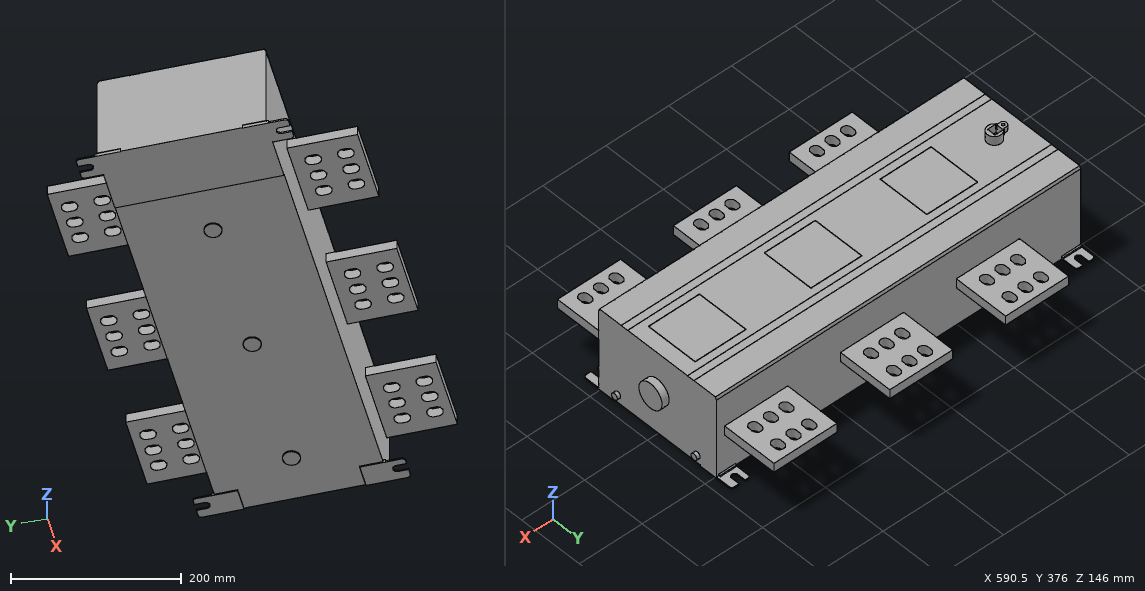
import cadquery as cq
TOTAL_LENGTH = 590.5
TOTAL_WIDTH = 376.0
TOTAL_HEIGHT = 146.0

HOUSING_LENGTH = 579.0
HOUSING_WIDTH = 205.0
HOUSING_BOTTOM = 2.0
HOUSING_TOP = 131.5
EDGE_SLOPE_HEIGHT = 4.0
EDGE_SLOPE_WIDTH = 2.0

STRIP_DEPTH = 0.3
STRIP_INNER_Y = 52.0
STRIP_OUTER_Y = 63.0
WINDOW_DEPTH = 0.5
WINDOW_SIZE = 81.0

POLE_PITCH = 184.0
MIDDLE_POLE_X = 332.0
POLE_CENTERS = [MIDDLE_POLE_X + step * POLE_PITCH for step in (-1, 0, 1)]
BUSBAR_WIDTH = 100.5
BUSBAR_THICKNESS = 15.0
BUSBAR_CENTER_Z = 69.5
SLOT_WIDTH = 14.0
SLOT_LENGTH = 19.5
SLOT_PITCH_X = 25.0
SLOT_PITCH_Y = 39.5
OUTER_SLOT_INSET = 20.5

BASE_PLATE_LENGTH = 84.5
PAD_DIAMETER = 21.0

LEFT_BRACKET_INSET = 0.5
BRACKET_WIDTH = 30.0
RIGHT_STEP_INSET = 3.5
BRACKET_INNER_Y = 74.0
BRACKET_STEP_Y = 105.0
BRACKET_TIP_Y = 129.0
BRACKET_HEIGHT = 5.0
FOOT_THICKNESS = 2.5
FOOT_CORNER_RADIUS = 4.0
FORK_WIDTH = 9.5
FORK_DEPTH = 18.0

BOSS_DIAMETER = 40.0
BOSS_CENTER_Z = 69.0
PIN_DIAMETER = 10.0
PIN_LENGTH = 5.5
PIN_Y = 69.0
PIN_CENTER_Z = 15.0

LOCK_X = 43.5
LOCK_DIAMETER = 22.0
LOCK_SOCKET_SIZE = 13.0
LOCK_SOCKET_X = 42.0
LUG_WIDTH = 10.5
LUG_TIP_X = 24.0
LUG_ROOT_WIDTH = 14.0
LUG_ROOT_X = 34.0
LUG_BOTTOM = 137.5
LUG_HOLE_DIAMETER = 4.0


def block(x_range, y_range, z_range):
    """Axis-aligned box spanning the given ranges."""
    lows, highs = zip(x_range, y_range, z_range)
    sizes = [high - low for low, high in zip(lows, highs)]
    return cq.Workplane("XY").box(*sizes, centered=False).translate(lows)


def both_sides(half):
    """Add the mirror image of a body across the XZ plane."""
    return half.union(half.mirror("XZ"))


def make_housing():
    """Long box whose upper long edges are sloped, with shallow marks in its top face."""
    half_width = HOUSING_WIDTH / 2
    top_half_width = half_width - EDGE_SLOPE_WIDTH
    shoulder_z = HOUSING_TOP - EDGE_SLOPE_HEIGHT
    outline = [
        (-half_width, HOUSING_BOTTOM),
        (half_width, HOUSING_BOTTOM),
        (half_width, shoulder_z),
        (top_half_width, HOUSING_TOP),
        (-top_half_width, HOUSING_TOP),
        (-half_width, shoulder_z),
    ]
    housing = cq.Workplane("YZ").polyline(outline).close().extrude(HOUSING_LENGTH)

    strip = block(
        (0, HOUSING_LENGTH),
        (STRIP_INNER_Y, STRIP_OUTER_Y),
        (HOUSING_TOP - STRIP_DEPTH, HOUSING_TOP),
    )
    windows = (
        cq.Workplane("XY", origin=(0, 0, HOUSING_TOP))
        .pushPoints([(x, 0) for x in POLE_CENTERS])
        .rect(WINDOW_SIZE, WINDOW_SIZE)
        .extrude(-WINDOW_DEPTH)
    )
    return housing.cut(both_sides(strip)).cut(windows)


def make_busbars():
    """Flat bars through the housing, with two rows of three slots at each end."""
    outer_row_y = TOTAL_WIDTH / 2 - OUTER_SLOT_INSET
    inner_row_y = outer_row_y - SLOT_PITCH_Y
    rows = (-outer_row_y, -inner_row_y, inner_row_y, outer_row_y)
    slot_centers = [
        (x + column * SLOT_PITCH_X, y)
        for x in POLE_CENTERS
        for column in (-1, 0, 1)
        for y in rows
    ]
    bar_plane = cq.Workplane("XY", origin=(0, 0, BUSBAR_CENTER_Z - BUSBAR_THICKNESS / 2))
    bars = (
        bar_plane.pushPoints([(x, 0) for x in POLE_CENTERS])
        .rect(BUSBAR_WIDTH, TOTAL_WIDTH)
        .extrude(BUSBAR_THICKNESS)
    )
    slots = (
        bar_plane.pushPoints(slot_centers)
        .slot2D(SLOT_LENGTH, SLOT_WIDTH, 90)
        .extrude(BUSBAR_THICKNESS)
    )
    return bars.cut(slots)


def make_underside():
    """Base plate at the left end and one round pad below each pole."""
    plate = block(
        (0, BASE_PLATE_LENGTH),
        (-HOUSING_WIDTH / 2, HOUSING_WIDTH / 2),
        (0, HOUSING_BOTTOM),
    )
    pads = (
        cq.Workplane("XY")
        .pushPoints([(x, 0) for x in POLE_CENTERS])
        .circle(PAD_DIAMETER / 2)
        .extrude(HOUSING_BOTTOM)
    )
    return plate.union(pads)


def make_bracket_pockets():
    """Pockets in the bottom left corners of the housing, open to the end and the long sides."""
    pocket = block(
        (0, LEFT_BRACKET_INSET + BRACKET_WIDTH),
        (BRACKET_INNER_Y, HOUSING_WIDTH / 2),
        (0, BRACKET_HEIGHT),
    )
    return both_sides(pocket)


def make_bracket_pair(start_x, step_inset):
    """Stepped brackets on both sides; each thin foot ends in an open fork.

    The raised step stops short of the right edge of the foot by step_inset,
    and the fork is centred on the step.
    """
    end_x = start_x + BRACKET_WIDTH
    step_end_x = end_x - step_inset
    foot = block((start_x, end_x), (BRACKET_INNER_Y, BRACKET_TIP_Y), (0, FOOT_THICKNESS))
    foot = foot.edges("|Z and >Y").fillet(FOOT_CORNER_RADIUS)
    step = block((start_x, step_end_x), (BRACKET_INNER_Y, BRACKET_STEP_Y), (0, BRACKET_HEIGHT))

    fork = (
        cq.Workplane("XY")
        .center((start_x + step_end_x) / 2, BRACKET_TIP_Y)
        .slot2D(2 * FORK_DEPTH, FORK_WIDTH, 90)
        .extrude(FOOT_THICKNESS)
    )
    return both_sides(foot.union(step).cut(fork))


def make_end_cylinder(y, z, diameter, length):
    """Cylinder standing out from the right end of the housing."""
    plane = cq.Workplane("YZ", origin=(HOUSING_LENGTH, y, z))
    return plane.circle(diameter / 2).extrude(length)


def make_lock():
    """Round lock body with a square socket and a rounded, pierced lug on a wider root."""
    height = TOTAL_HEIGHT - HOUSING_TOP
    lug_height = TOTAL_HEIGHT - LUG_BOTTOM
    lug_center_x = LUG_TIP_X + LUG_WIDTH / 2

    body = cq.Workplane("XY", origin=(LOCK_X, 0, HOUSING_TOP)).circle(LOCK_DIAMETER / 2).extrude(height)
    lug_plane = cq.Workplane("XY", origin=(lug_center_x, 0, LUG_BOTTOM))
    lug_tip = lug_plane.circle(LUG_WIDTH / 2).extrude(lug_height)
    lug_neck = block(
        (lug_center_x, LOCK_X),
        (-LUG_WIDTH / 2, LUG_WIDTH / 2),
        (LUG_BOTTOM, TOTAL_HEIGHT),
    )
    lug_root = block(
        (LUG_ROOT_X, LOCK_X),
        (-LUG_ROOT_WIDTH / 2, LUG_ROOT_WIDTH / 2),
        (LUG_BOTTOM, TOTAL_HEIGHT),
    )
    lug_hole = lug_plane.circle(LUG_HOLE_DIAMETER / 2).extrude(lug_height)
    socket = (
        cq.Workplane("XY", origin=(LOCK_SOCKET_X, 0, HOUSING_TOP))
        .rect(LOCK_SOCKET_SIZE, LOCK_SOCKET_SIZE)
        .extrude(height)
    )
    lock = body.union(lug_tip).union(lug_neck).union(lug_root)
    return lock.cut(socket).cut(lug_hole)


result = make_housing().union(make_busbars()).union(make_underside()).cut(make_bracket_pockets())
result = result.union(make_bracket_pair(LEFT_BRACKET_INSET, 0))
result = result.union(make_bracket_pair(HOUSING_LENGTH - BRACKET_WIDTH, RIGHT_STEP_INSET))

boss_length = TOTAL_LENGTH - HOUSING_LENGTH
result = result.union(make_end_cylinder(0, BOSS_CENTER_Z, BOSS_DIAMETER, boss_length))
pin = make_end_cylinder(PIN_Y, PIN_CENTER_Z, PIN_DIAMETER, PIN_LENGTH)
result = result.union(both_sides(pin)).union(make_lock())